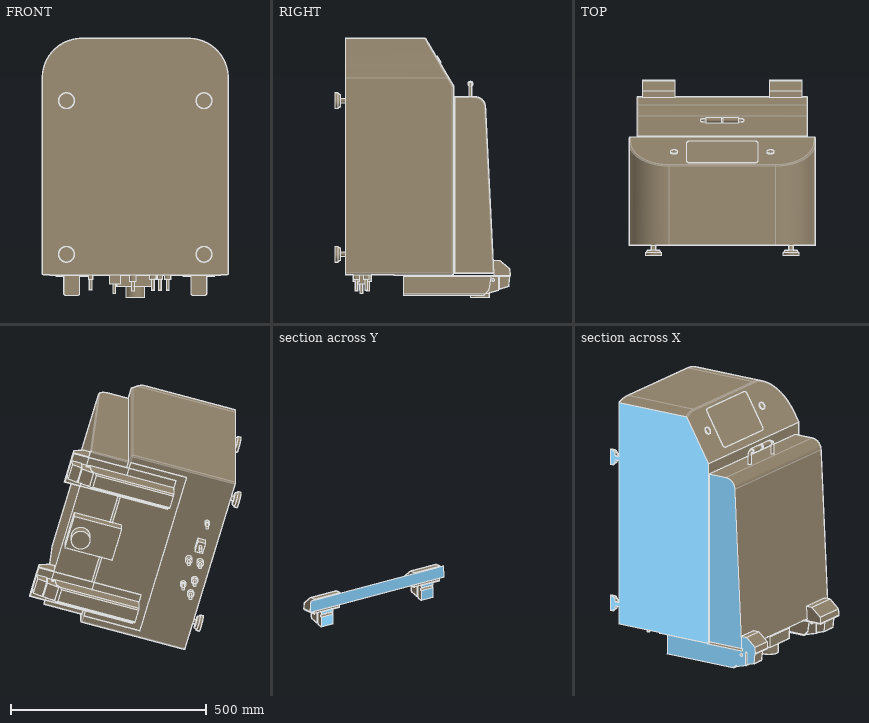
import cadquery as cq


HOUSING_WIDTH = 476.0
HOUSING_HEIGHT = 277.0
HOUSING_LENGTH = 605.0
CORNER_RADIUS = 102.0
SLOPE_RUN_Y = 72.0
SLOPE_RUN_Z = 122.0
EDGE_RADIUS = 4.0
SLOPE_FACE_ALIGNMENT = 0.8

DISPLAY_WIDTH = 182.0
DISPLAY_HEIGHT = 109.5
DISPLAY_RADIUS = 8.0
DISPLAY_DEPTH = 0.5
DISPLAY_SHIFT = 4.0
BUTTON_DIAMETER = 18.5
BUTTON_HEIGHT = 2.5
BUTTON_X = 123.0
BUTTON_SHIFT = 6.5

FOOT_X = 176.0
FOOT_ROWS_Z = (52.5, 445.0)
STEM_RADIUS = 6.0
STEM_LENGTH = 12.0
DOME_TOP_RADIUS = 15.0
DOME_BASE_RADIUS = 19.0
DOME_HEIGHT = 6.5
PAD_RADIUS = 20.5
PAD_THICKNESS = 8.0

REAR_PANEL_THICKNESS = 2.0
REAR_PANEL_START_Y = 124.5
TUBE_RADIUS = 3.65
TUBE_CONNECTORS = (
    (-114.0, 40.5, 12.0, 12.0, 38.5),
    (-6.0, 58.5, 16.5, 17.0, 42.0),
    (-6.0, 28.5, 16.5, 17.0, 42.0),
    (45.0, 28.5, 16.5, 12.0, 40.0),
    (63.0, 54.0, 14.0, 12.0, 40.0),
    (83.0, 28.5, 16.5, 12.0, 40.0),
)
INLET_BLOCK = (28.5, 20.5, 24.0)
INLET_BLOCK_X = -52.0
INLET_Y = 41.0
INLET_TUBE_X = -54.0
INLET_TUBE_REACH = 48.5
OUTLET_BLOCK = (89.0, 126.0, 28.5)
OUTLET_BLOCK_X = -3.0
OUTLET_BLOCK_Y = 311.5
OUTLET_Y = 344.0
OUTLET_DIAMETER = 48.5
OUTLET_REACH = 58.5

LID_WIDTH = 436.0
LID_GAP = 2.0
LID_REAR_Z = 3.0
LID_FRONT_Z = 455.5
LID_REAR_Y = 380.0
LID_FRONT_Y = 357.5
LID_RADIUS = 28.0
LID_RIM_RADIUS = 2.5

HANDLE_Y = 319.5
HANDLE_REACH = 32.5
HANDLE_HALF_SPAN = 52.0
ROD_RADIUS = 4.0
ROD_BEND_RADIUS = 6.5
GRIP_RADIUS = 6.5
GRIP_HALF_LENGTH = 41.0
GRIP_SPLIT = 2.5

HINGE_X = 162.5
LEAF_WIDTH = 83.5
LEAF_TOP_Y = 422.5
LEAF_SHOULDER_Z = 15.0
LEAF_FRONT_Y = 394.5
LEAF_FRONT_Z = 37.0
PLATE_WIDTH = 81.0
PLATE_THICKNESS = 2.0
PLATE_TOP_Y = 420.5
BLOCK_WIDTH = 41.0
BLOCK_START_Y = 148.5
BLOCK_REAR_Z = -53.0
BLOCK_CHAMFER = 4.0
BLOCK_TOP_Y = 372.5
BLOCK_KINK_Y = 367.5
BLOCK_KINK_Z = -38.5
BLOCK_END_Y = 353.5
NOSE_TIP_Y = 418.0
NOSE_TIP_Z = -30.0
NOSE_START_Y = 394.0
NOSE_START_Z = -37.0
KNUCKLE_WIDTH = 38.5
KNUCKLE_TOP_Y = 392.0
KNUCKLE_TOP_Z = -40.0
KNUCKLE_START_Y = 361.5
KNUCKLE_START_Z = -48.5
PIN_HOLE_Y = 378.0
PIN_HOLE_Z = -13.0
PIN_HOLE_DIAMETER = 6.0


def extrude_across(points, width):
    """Extrude a (y, z) outline to a width centred on x = 0."""
    return cq.Workplane("YZ").polyline(points).close().extrude(width / 2, both=True)


def rear_cylinder(x, y, diameter, reach):
    """Round stub pointing from the rear wall to -Z."""
    return cq.Workplane("XY").center(x, y).circle(diameter / 2).extrude(-reach)


def rear_block(x, y, size):
    """Rectangular block pointing from the rear wall to -Z."""
    width, height, reach = size
    return cq.Workplane("XY").center(x, y).rect(width, height).extrude(-reach)


def is_bend_line(edge):
    """True for the line where the lid side turns into the sloped control face."""
    middle = edge.Center()
    return (
        abs(middle.x) < EDGE_RADIUS
        and abs(middle.y - HOUSING_HEIGHT) < EDGE_RADIUS
        and middle.z > HOUSING_LENGTH / 2
    )


def make_shell():
    shell = (
        cq.Workplane("XY")
        .box(HOUSING_WIDTH, HOUSING_HEIGHT, HOUSING_LENGTH, centered=(True, False, False))
        .edges("|Y and >Z").fillet(CORNER_RADIUS)
        .edges("|Y and <Z").fillet(EDGE_RADIUS)
    )
    slope_cut = extrude_across(
        [
            (HOUSING_HEIGHT, HOUSING_LENGTH - SLOPE_RUN_Z),
            (HOUSING_HEIGHT - SLOPE_RUN_Y, HOUSING_LENGTH),
            (HOUSING_HEIGHT, HOUSING_LENGTH),
        ],
        HOUSING_WIDTH,
    )
    shell = shell.cut(slope_cut)
    slope_direction = cq.Vector(0, SLOPE_RUN_Z, SLOPE_RUN_Y).normalized()
    front_faces = shell.faces().filter(
        lambda face: face.normalAt().dot(slope_direction) > SLOPE_FACE_ALIGNMENT
    )
    rim = front_faces.edges().filter(lambda edge: not is_bend_line(edge))
    return rim.fillet(EDGE_RADIUS)


def control_plane():
    """Plane on the middle of the slope, its local x along X and its normal pointing out."""
    middle = (0, HOUSING_HEIGHT - SLOPE_RUN_Y / 2, HOUSING_LENGTH - SLOPE_RUN_Z / 2)
    return cq.Plane(origin=middle, xDir=(-1, 0, 0), normal=(0, SLOPE_RUN_Z, SLOPE_RUN_Y))


def add_controls(shell):
    display = (
        cq.Workplane(control_plane())
        .center(0, DISPLAY_SHIFT)
        .rect(DISPLAY_WIDTH, DISPLAY_HEIGHT)
        .extrude(-DISPLAY_DEPTH)
        .edges(cq.selectors.ParallelDirSelector(control_plane().zDir))
        .fillet(DISPLAY_RADIUS)
    )
    buttons = (
        cq.Workplane(control_plane())
        .pushPoints([(-BUTTON_X, BUTTON_SHIFT), (BUTTON_X, BUTTON_SHIFT)])
        .circle(BUTTON_DIAMETER / 2)
        .extrude(BUTTON_HEIGHT)
    )
    return shell.cut(display).union(buttons)


def make_foot(x, z):
    dome_y = -STEM_LENGTH
    pad_y = dome_y - DOME_HEIGHT
    foot = (
        cq.Workplane("XY")
        .lineTo(STEM_RADIUS, 0)
        .lineTo(STEM_RADIUS, dome_y)
        .lineTo(DOME_TOP_RADIUS, dome_y)
        .lineTo(DOME_BASE_RADIUS, pad_y)
        .lineTo(PAD_RADIUS, pad_y)
        .lineTo(PAD_RADIUS, pad_y - PAD_THICKNESS)
        .lineTo(0, pad_y - PAD_THICKNESS)
        .close()
        .revolve(360, (0, 0), (0, 1))
    )
    return foot.translate((x, 0, z))


def make_outlet():
    """Round outlet on a block that overhangs the housing and clears the rear wall of the lid."""
    outlet = rear_block(OUTLET_BLOCK_X, OUTLET_BLOCK_Y, OUTLET_BLOCK)
    outlet = outlet.union(rear_cylinder(0, OUTLET_Y, OUTLET_DIAMETER, OUTLET_REACH - REAR_PANEL_THICKNESS))
    return outlet.translate((0, 0, -REAR_PANEL_THICKNESS))


def make_rear_fittings():
    panel_height = HOUSING_HEIGHT - EDGE_RADIUS - REAR_PANEL_START_Y
    panel_y = REAR_PANEL_START_Y + panel_height / 2
    fittings = rear_block(0, panel_y, (LID_WIDTH, panel_height, REAR_PANEL_THICKNESS))
    fittings = fittings.union(make_outlet())
    fittings = fittings.union(rear_block(INLET_BLOCK_X, INLET_Y, INLET_BLOCK))
    fittings = fittings.union(rear_cylinder(INLET_TUBE_X, INLET_Y, 2 * TUBE_RADIUS, INLET_TUBE_REACH))
    for x, y, collar_diameter, collar_length, tube_reach in TUBE_CONNECTORS:
        fittings = fittings.union(rear_cylinder(x, y, collar_diameter, collar_length))
        fittings = fittings.union(rear_cylinder(x, y, 2 * TUBE_RADIUS, tube_reach))
    return fittings


def make_housing():
    housing = add_controls(make_shell()).union(make_rear_fittings())
    for x in (-FOOT_X, FOOT_X):
        for z in FOOT_ROWS_Z:
            housing = housing.union(make_foot(x, z))
    return housing


def make_lid():
    mating_y = HOUSING_HEIGHT + LID_GAP
    lid = extrude_across(
        [
            (mating_y, LID_REAR_Z),
            (LID_REAR_Y, LID_REAR_Z),
            (LID_FRONT_Y, LID_FRONT_Z),
            (mating_y, LID_FRONT_Z),
        ],
        LID_WIDTH,
    )
    lid = lid.edges("|X and >Z").edges(">Y").fillet(LID_RADIUS)
    rim = lid.faces("<X or >X").edges().filter(lambda edge: edge.Center().y > mating_y + LID_RIM_RADIUS)
    return rim.fillet(LID_RIM_RADIUS)


def make_handle():
    axis_z = LID_FRONT_Z + HANDLE_REACH
    bend_start_z = axis_z - ROD_BEND_RADIUS
    bend_end_x = HANDLE_HALF_SPAN - ROD_BEND_RADIUS
    path = (
        cq.Workplane("XZ", origin=(0, HANDLE_Y, 0))
        .moveTo(-HANDLE_HALF_SPAN, LID_FRONT_Z)
        .lineTo(-HANDLE_HALF_SPAN, bend_start_z)
        .radiusArc((-bend_end_x, axis_z), ROD_BEND_RADIUS)
        .lineTo(bend_end_x, axis_z)
        .radiusArc((HANDLE_HALF_SPAN, bend_start_z), ROD_BEND_RADIUS)
        .lineTo(HANDLE_HALF_SPAN, LID_FRONT_Z)
    )
    rod = (
        cq.Workplane("XY", origin=(-HANDLE_HALF_SPAN, HANDLE_Y, LID_FRONT_Z))
        .circle(ROD_RADIUS)
        .sweep(path)
    )
    grip_length = GRIP_HALF_LENGTH - GRIP_SPLIT / 2
    handle = rod
    for start_x in (-GRIP_HALF_LENGTH, GRIP_SPLIT / 2):
        grip = (
            cq.Workplane("YZ", origin=(start_x, HANDLE_Y, axis_z))
            .circle(GRIP_RADIUS)
            .extrude(grip_length)
        )
        handle = handle.union(grip)
    return handle


def make_leaf(rear_z):
    """Hinge leaf whose inner side follows the lean of the lid."""
    lean = (LID_REAR_Y - LID_FRONT_Y) / (LID_FRONT_Z - LID_REAR_Z)
    return extrude_across(
        [
            (LID_REAR_Y, rear_z),
            (LID_REAR_Y, LID_REAR_Z),
            (LID_REAR_Y - lean * (LEAF_FRONT_Z - LID_REAR_Z), LEAF_FRONT_Z),
            (LEAF_FRONT_Y, LEAF_FRONT_Z),
            (PLATE_TOP_Y, LEAF_SHOULDER_Z),
            (LEAF_TOP_Y, rear_z),
        ],
        LEAF_WIDTH,
    )


def make_hinge(x):
    panel_z = -REAR_PANEL_THICKNESS
    plate_z = panel_z - PLATE_THICKNESS
    plate = extrude_across(
        [(BLOCK_START_Y, panel_z), (PLATE_TOP_Y, panel_z), (PLATE_TOP_Y, plate_z), (BLOCK_START_Y, plate_z)],
        PLATE_WIDTH,
    )
    nose = extrude_across(
        [
            (PLATE_TOP_Y, plate_z),
            (NOSE_TIP_Y, NOSE_TIP_Z),
            (NOSE_START_Y, NOSE_START_Z),
            (NOSE_START_Y, plate_z),
        ],
        BLOCK_WIDTH,
    )
    knuckle = extrude_across(
        [
            (KNUCKLE_TOP_Y, plate_z),
            (KNUCKLE_TOP_Y, KNUCKLE_TOP_Z),
            (KNUCKLE_START_Y, KNUCKLE_START_Z),
            (KNUCKLE_START_Y, plate_z),
        ],
        KNUCKLE_WIDTH,
    )
    block = extrude_across(
        [
            (BLOCK_START_Y, plate_z),
            (BLOCK_TOP_Y, plate_z),
            (BLOCK_KINK_Y, BLOCK_KINK_Z),
            (BLOCK_END_Y, BLOCK_REAR_Z),
            (BLOCK_START_Y, BLOCK_REAR_Z),
        ],
        BLOCK_WIDTH,
    )
    block = block.edges("|Y and <Z").chamfer(BLOCK_CHAMFER)
    pin_hole = (
        cq.Workplane("YZ")
        .center(PIN_HOLE_Y, PIN_HOLE_Z)
        .circle(PIN_HOLE_DIAMETER / 2)
        .extrude(LEAF_WIDTH, both=True)
    )
    hinge = make_leaf(panel_z).union(plate).union(nose).union(knuckle).union(block).cut(pin_hole)
    return hinge.translate((x, 0, 0))


housing = make_housing()
lid = make_lid()
handle = make_handle()
hinges = [make_hinge(x) for x in (-HINGE_X, HINGE_X)]

result = cq.Compound.makeCompound(
    [housing.val(), lid.val(), handle.val(), *[hinge.val() for hinge in hinges]]
)